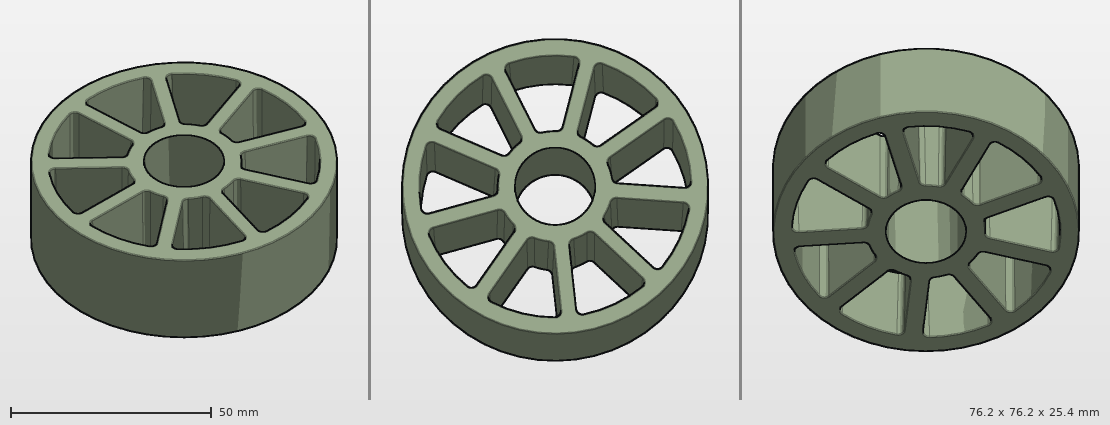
import cadquery as cq
import math

wheel_diameter = 76.2
wheel_width = 25.4
bore_diameter = 20.0
edge_round = 0.25

window_count = 9
spoke_width = 3.9
hub_radius = 14.3
rim_inner_radius = 33.75
corner_radius = 1.5
draft_angle = 1.0

window_pitch = 360.0 / window_count
first_window_angle = -90.0


def window_corner(radius, side):
    """Point at the given radius on a spoke flank; side is +1 or -1 about the +X axis."""
    angle = math.radians(window_pitch / 2) - math.asin(spoke_width / 2 / radius)
    return (radius * math.cos(angle), side * radius * math.sin(angle))


def make_window():
    """Drafted through window between two spokes, centred on +X, with rounded corners."""
    return (
        cq.Workplane("XY", origin=(0, 0, wheel_width))
        .moveTo(*window_corner(hub_radius, -1))
        .lineTo(*window_corner(rim_inner_radius, -1))
        .threePointArc((rim_inner_radius, 0), window_corner(rim_inner_radius, 1))
        .lineTo(*window_corner(hub_radius, 1))
        .threePointArc((hub_radius, 0), window_corner(hub_radius, -1))
        .close()
        .extrude(-wheel_width, taper=draft_angle)
        .edges("not (<Z or >Z)")
        .fillet(corner_radius)
    )


wheel = cq.Workplane("XY").circle(wheel_diameter / 2).extrude(wheel_width)

window = make_window()
for index in range(window_count):
    angle = first_window_angle + index * window_pitch
    wheel = wheel.cut(window.rotate((0, 0, 0), (0, 0, 1), angle))

wheel = wheel.faces(">Z or <Z").edges().fillet(edge_round)

bore = cq.Workplane("XY").circle(bore_diameter / 2).extrude(wheel_width)
result = wheel.cut(bore)